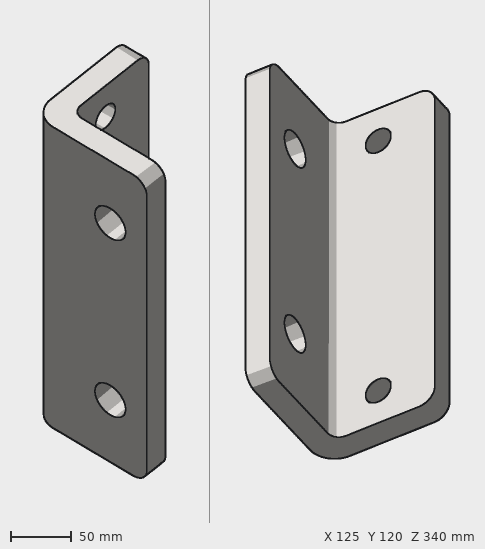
import cadquery as cq

width = 125.0
depth = 120.0
height = 340.0

thickness = 23.5
bend_outer_radius = 23.5
bend_inner_radius = 11.0
corner_radius = 15.0

front_hole_diameter = 33.3
front_hole_x = 85.5
front_hole_spacing = 200.0

side_hole_diameter = 24.5
side_hole_y = 65.5
side_hole_spacing = 270.0


def bent_plate():
    """L-shaped profile with a rounded bend, extruded to full height."""
    plate = (
        cq.Workplane("XY")
        .moveTo(0, 0)
        .lineTo(width, 0)
        .lineTo(width, thickness)
        .lineTo(thickness, thickness)
        .lineTo(thickness, depth)
        .lineTo(0, depth)
        .close()
        .extrude(height)
    )
    plate = plate.edges(cq.NearestToPointSelector((0, 0, height / 2))).fillet(bend_outer_radius)
    inner_corner = (thickness, thickness, height / 2)
    return plate.edges(cq.NearestToPointSelector(inner_corner)).fillet(bend_inner_radius)


def hole_pair(plane, offset, spacing, diameter, direction):
    """Two cylinders, symmetric about mid-height, that pass through one leg."""
    centers = [(offset, height / 2 + side * spacing / 2) for side in (-1, 1)]
    return (
        cq.Workplane(plane)
        .pushPoints(centers)
        .circle(diameter / 2)
        .extrude(direction * thickness)
    )


bracket = bent_plate()

bracket = bracket.faces(">X").edges("|Y").fillet(corner_radius)
bracket = bracket.faces(">Y").edges("|X").fillet(corner_radius)

bracket = bracket.cut(hole_pair("XZ", front_hole_x, front_hole_spacing, front_hole_diameter, -1))
bracket = bracket.cut(hole_pair("YZ", side_hole_y, side_hole_spacing, side_hole_diameter, 1))

result = bracket